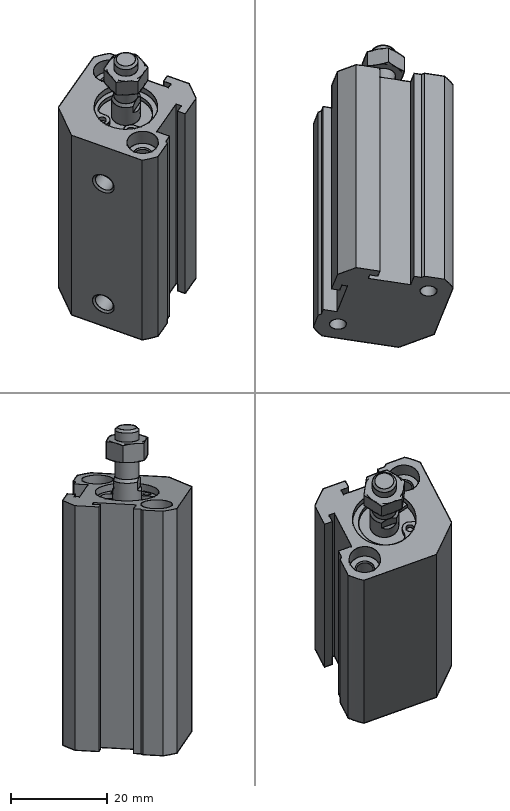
import cadquery as cq
import math


body_width = 25.0
body_height = 53.0
corner_diameter = 32.0
port_side_chamfer = 6.1
slot_side_inset = 0.55
step_start = 5.75
slot_corner_chamfer = 3.2

slot_floor = 9.0
slot_opening = 7.3
slot_undercut = 1.75
undercut_height = 1.2

bolt_offset = 7.8
bolt_diameter = 3.5
bolt_countersink_diameter = 4.0
bolt_counterbore_diameter = 6.5
bolt_counterbore_depth = 3.55

port_x = 1.0
port_heights = (6.55, 42.0)
port_diameter = 4.15
port_mouth_diameter = 5.0
port_depth = 4.0
drill_point_angle = 118

recess_diameter = 13.2
ring_drop = 1.5
ring_thickness = 1.0
ring_inner_radius = 5.75
ring_inner_shift = 0.5
ear_x = 3.35
ear_y = -4.35
ear_radius = 1.6
ear_hole_diameter = 1.7
ear_fillet = 1.6
gap_outer_half_width = 2.3

total_height = 67.0
rod_diameter = 6.0
thread_diameter = 5.0
thread_start = 3.4
shoulder_height = 0.7
thread_end_chamfer = 0.55
flats_width = 5.0
flats_start = 1.0

nut_flats = 8.0
nut_height = 4.0
nut_start = 7.5
hexagon_half_angle = 30
nut_corner_drop = 0.2

half_width = body_width / 2
recess_radius = recess_diameter / 2
recess_depth = ring_drop + ring_thickness
recess_floor = body_height - recess_depth


def make_slot(turned):
    """Sensor slot of the +Y side, or of the +X side when turned, with an undercut at its far end."""
    half_opening = slot_opening / 2
    undercut_end = half_opening + slot_undercut
    points = [
        (-half_opening, slot_floor),
        (undercut_end, slot_floor),
        (undercut_end, slot_floor + undercut_height),
        (half_opening, slot_floor + undercut_height),
        (half_opening, half_width),
        (-half_opening, half_width),
    ]
    if turned:
        points = [(y, x) for x, y in points]
    return cq.Workplane("XY").polyline(points).close().extrude(body_height)


def make_blank():
    """Housing prism without its holes."""
    slot_side = half_width - slot_side_inset
    step_end = step_start - slot_side_inset
    prism = (
        cq.Workplane("XY")
        .moveTo(-half_width, half_width)
        .lineTo(-step_start, half_width)
        .lineTo(-step_end, slot_side)
        .lineTo(slot_side - slot_corner_chamfer, slot_side)
        .lineTo(slot_side, slot_side - slot_corner_chamfer)
        .lineTo(slot_side, -step_end)
        .lineTo(half_width, -step_start)
        .lineTo(half_width, -half_width)
        .lineTo(-half_width + port_side_chamfer, -half_width)
        .lineTo(-half_width, -half_width + port_side_chamfer)
        .close()
        .extrude(body_height)
    )
    round_bar = cq.Workplane("XY").circle(corner_diameter / 2).extrude(body_height)
    return prism.intersect(round_bar)


def make_bolt_hole(x, y):
    """Through hole with a counterbore and a small countersink on the counterbore floor."""
    radius = bolt_diameter / 2
    countersink_radius = bolt_countersink_diameter / 2
    counterbore_radius = bolt_counterbore_diameter / 2
    counterbore_floor = body_height - bolt_counterbore_depth
    profile = [
        (0, 0),
        (radius, 0),
        (radius, counterbore_floor - (countersink_radius - radius)),
        (countersink_radius, counterbore_floor),
        (counterbore_radius, counterbore_floor),
        (counterbore_radius, body_height),
        (0, body_height),
    ]
    hole = cq.Workplane("XZ").polyline(profile).close().revolve(360, (0, 0), (0, 1))
    return hole.translate((x, y, 0))


def make_port(z):
    """Blind port with a chamfered mouth and a drill-point bottom."""
    radius = port_diameter / 2
    mouth_radius = port_mouth_diameter / 2
    point_length = radius / math.tan(math.radians(drill_point_angle / 2))
    profile = [
        (0, 0),
        (mouth_radius, 0),
        (radius, mouth_radius - radius),
        (radius, port_depth),
        (0, port_depth + point_length),
    ]
    port = cq.Workplane("XY").polyline(profile).close().revolve(360, (0, 0), (0, 1))
    return port.translate((port_x, -half_width, z))


def make_ring():
    """Open snap ring with two eared ends, filling the lower part of the recess."""
    ear_top = ear_y + ear_radius
    ear_tip = ear_x - ear_radius
    gap_end = -math.sqrt(recess_radius**2 - gap_outer_half_width**2)
    ring = cq.Workplane("XY").circle(recess_radius).extrude(ring_thickness)

    above_ears = (
        cq.Workplane("XY")
        .rect(recess_diameter, recess_diameter)
        .extrude(ring_thickness)
        .translate((0, ear_top + recess_radius, 0))
    )
    opening = (
        cq.Workplane("XY")
        .center(0, -ring_inner_shift)
        .circle(ring_inner_radius)
        .extrude(ring_thickness)
        .intersect(above_ears)
        .edges("|Z")
        .fillet(ear_fillet)
    )

    ear_bend = ear_radius * math.sqrt(0.5)
    gap = (
        cq.Workplane("XY")
        .moveTo(-ear_x, ear_top)
        .threePointArc((-ear_x + ear_bend, ear_y + ear_bend), (-ear_tip, ear_y))
        .lineTo(-gap_outer_half_width, gap_end)
        .threePointArc((0, -recess_radius), (gap_outer_half_width, gap_end))
        .lineTo(ear_tip, ear_y)
        .threePointArc((ear_x - ear_bend, ear_y + ear_bend), (ear_x, ear_top))
        .close()
        .extrude(ring_thickness)
    )

    ear_holes = (
        cq.Workplane("XY")
        .pushPoints([(-ear_x, ear_y), (ear_x, ear_y)])
        .circle(ear_hole_diameter / 2)
        .extrude(ring_thickness)
    )
    ring = ring.cut(opening).cut(gap).cut(ear_holes)
    return ring.translate((0, 0, recess_floor))


def make_housing():
    """Housing with its slots, bolt holes, ports and recess, and the snap ring fixed in the recess."""
    housing = make_blank()
    for turned in (False, True):
        housing = housing.cut(make_slot(turned))
    for side in (-1, 1):
        housing = housing.cut(make_bolt_hole(side * bolt_offset, -side * bolt_offset))
    for z in port_heights:
        housing = housing.cut(make_port(z))
    recess = (
        cq.Workplane("XY")
        .workplane(offset=recess_floor)
        .circle(recess_radius)
        .extrude(recess_depth)
    )
    return housing.cut(recess).union(make_ring())


def make_flat(side):
    """Cutter for one wrench flat, with a 45 degree run-out at its lower end."""
    flat_x = flats_width / 2
    outer_x = rod_diameter / 2
    lower_z = body_height + flats_start
    upper_z = body_height + thread_start
    profile = [
        (side * flat_x, upper_z),
        (side * flat_x, lower_z),
        (side * outer_x, lower_z - (outer_x - flat_x)),
        (side * outer_x, upper_z),
    ]
    return cq.Workplane("XZ").polyline(profile).close().extrude(rod_diameter / 2, both=True)


def make_rod():
    """Piston rod standing on the recess floor, with a thinner threaded end."""
    rod_radius = rod_diameter / 2
    thread_radius = thread_diameter / 2
    thread_base = body_height + thread_start
    profile = [
        (0, recess_floor),
        (rod_radius, recess_floor),
        (rod_radius, thread_base - shoulder_height),
        (thread_radius, thread_base),
        (thread_radius, total_height - thread_end_chamfer),
        (thread_radius - thread_end_chamfer, total_height),
        (0, total_height),
    ]
    rod = cq.Workplane("XZ").polyline(profile).close().revolve(360, (0, 0), (0, 1))
    for side in (-1, 1):
        rod = rod.cut(make_flat(side))
    return rod


def make_nut():
    """Hexagon nut with flats facing +X and -X and its corners chamfered at both ends."""
    flat_radius = nut_flats / 2
    corner_radius = flat_radius / math.cos(math.radians(hexagon_half_angle))
    hexagon = (
        cq.Workplane("XY")
        .polygon(6, 2 * corner_radius)
        .extrude(nut_height)
        .rotate((0, 0, 0), (0, 0, 1), hexagon_half_angle)
    )
    envelope_profile = [
        (0, 0),
        (flat_radius, 0),
        (corner_radius, nut_corner_drop),
        (corner_radius, nut_height - nut_corner_drop),
        (flat_radius, nut_height),
        (0, nut_height),
    ]
    envelope = cq.Workplane("XZ").polyline(envelope_profile).close().revolve(360, (0, 0), (0, 1))
    bore = cq.Workplane("XY").circle(thread_diameter / 2).extrude(nut_height)
    return hexagon.intersect(envelope).cut(bore).translate((0, 0, body_height + nut_start))


housing = make_housing()
rod = make_rod()
nut = make_nut()

result = cq.Compound.makeCompound([housing.val(), rod.val(), nut.val()])